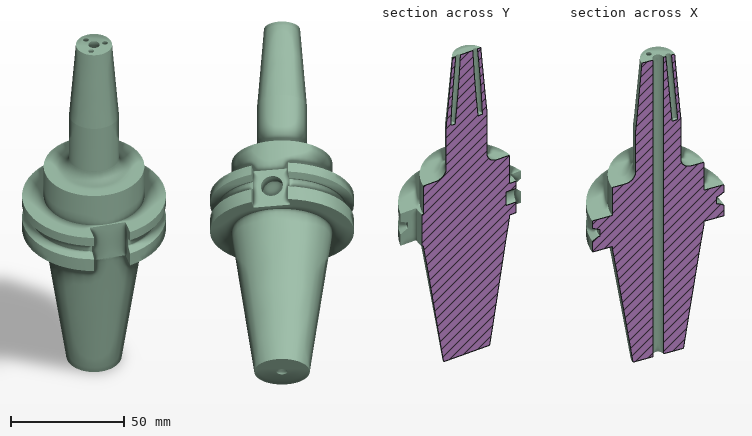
import cadquery as cq
import math


gauge_radius = 44.45 / 2
taper_length = 68.4
taper_slope = 7 / 48
taper_end_radius = gauge_radius - taper_length * taper_slope

flange_radius = 63.5 / 2
flange_bottom = 1.0
flange_top = 19.05
groove_center = 11.0
groove_floor_width = 3.8
groove_floor_radius = 56.25 / 2
groove_ledge_radius = 28.75
flank_angle = math.radians(30)
groove_floor_bottom = groove_center - groove_floor_width / 2
groove_floor_top = groove_center + groove_floor_width / 2
flank_height = (flange_radius - groove_ledge_radius) * math.tan(flank_angle)

hub_top = 35.0
overall_length = 169.85
nose_top = overall_length - taper_length
neck_radius = 11.0
neck_fillet = 5.0
nose_length = 38.0
nose_end_radius = 8.0

slot_width = 16.38
slot_floor_left = 25.2
slot_floor_right = 22.8
slot_hole_diameter = 9.8
slot_hole_depth = 5.0
slot_hole_height = groove_center

bore_diameter = 5.0
coolant_diameter = 2.5
coolant_depth = nose_length
coolant_tilt = math.degrees(math.atan((neck_radius - nose_end_radius) / nose_length))
coolant_circle_radius = 5.0
mouth_overrun = 1.0
coolant_count = 3
coolant_first_angle = 90


def make_body():
    """Revolve the half profile of the holder around the spindle axis."""
    fillet_mid = neck_fillet * (1 - math.sqrt(0.5))
    profile = (
        cq.Workplane("XZ")
        .moveTo(0, -taper_length)
        .lineTo(taper_end_radius, -taper_length)
        .lineTo(gauge_radius, 0)
        .lineTo(gauge_radius, flange_bottom)
        .lineTo(flange_radius, flange_bottom)
        .lineTo(flange_radius, groove_floor_bottom - flank_height)
        .lineTo(groove_ledge_radius, groove_floor_bottom)
        .lineTo(groove_floor_radius, groove_floor_bottom)
        .lineTo(groove_floor_radius, groove_floor_top)
        .lineTo(groove_ledge_radius, groove_floor_top)
        .lineTo(flange_radius, groove_floor_top + flank_height)
        .lineTo(flange_radius, flange_top)
        .lineTo(gauge_radius, flange_top)
        .lineTo(gauge_radius, hub_top)
        .lineTo(neck_radius + neck_fillet, hub_top)
        .threePointArc(
            (neck_radius + fillet_mid, hub_top + fillet_mid),
            (neck_radius, hub_top + neck_fillet),
        )
        .lineTo(neck_radius, nose_top - nose_length)
        .lineTo(nose_end_radius, nose_top)
        .lineTo(0, nose_top)
        .close()
    )
    return profile.revolve(360, (0, 0, 0), (0, 1, 0))


def make_drive_slot(floor_distance, side):
    """Block that cuts one drive slot; side is -1 for -X and +1 for +X."""
    return (
        cq.Workplane("XY")
        .workplane(offset=flange_bottom)
        .center(side * (floor_distance + flange_radius / 2), 0)
        .rect(flange_radius, slot_width)
        .extrude(flange_top - flange_bottom)
    )


def make_slot_hole():
    """Blind round hole in the floor of the -X drive slot."""
    return (
        cq.Workplane("YZ", origin=(-slot_floor_left, 0, slot_hole_height))
        .circle(slot_hole_diameter / 2)
        .extrude(slot_hole_depth)
    )


def make_bore():
    """Tool bore running through the whole length."""
    return (
        cq.Workplane("XY", origin=(0, 0, -taper_length))
        .circle(bore_diameter / 2)
        .extrude(overall_length)
    )


def make_coolant_hole():
    """One blind coolant hole on the +X side, running parallel to the nose taper."""
    mouth = (coolant_circle_radius, 0, nose_top)
    tilt_axis_end = (coolant_circle_radius, 1, nose_top)
    return (
        cq.Workplane("XY", origin=mouth)
        .workplane(offset=mouth_overrun)
        .circle(coolant_diameter / 2)
        .extrude(-coolant_depth - mouth_overrun)
        .rotate(mouth, tilt_axis_end, -coolant_tilt)
    )


def cut_coolant_holes(body):
    """Cut the coolant holes, spaced evenly around the bore in the nose face."""
    hole = make_coolant_hole()
    for index in range(coolant_count):
        angle = coolant_first_angle + index * 360 / coolant_count
        body = body.cut(hole.rotate((0, 0, 0), (0, 0, 1), angle))
    return body


holder = (
    make_body()
    .cut(make_drive_slot(slot_floor_left, -1))
    .cut(make_drive_slot(slot_floor_right, 1))
    .cut(make_slot_hole())
    .cut(make_bore())
)
result = cut_coolant_holes(holder)